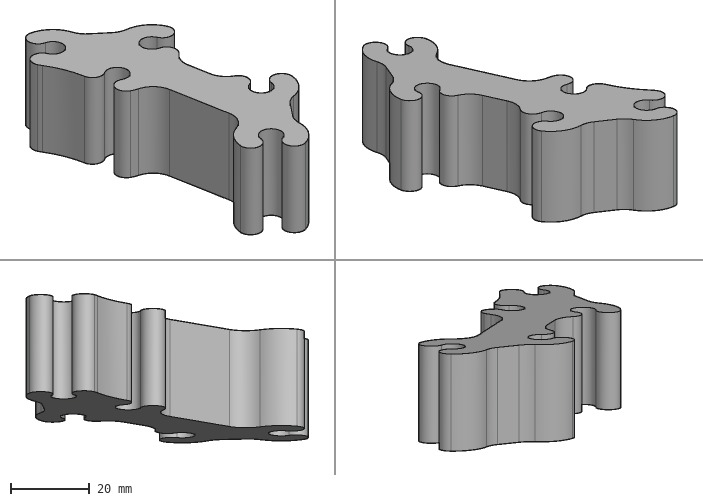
import cadquery as cq
import math

length = 90.5
width = 36.65
height = 25.25

socket_radius = 3.3
lobe_radius = 3.2
lobe_offset = socket_radius + lobe_radius
arm_radius = lobe_offset + lobe_radius
lobe_spread = 60.0

lobe_reach = lobe_offset * math.cos(math.radians(15)) + lobe_radius
outer_x = length / 2 - lobe_reach
outer_y = -width / 2 + lobe_reach
inner_y = width / 2 - lobe_reach
inner_x = outer_x - (inner_y - outer_y)
middle_x = -14.7

waist_top = inner_y - 3.0
waist_bottom = outer_y + 2.0
blend = 6.5


def polar(center, radius, angle):
    """Point at an angle in degrees on a circle."""
    a = math.radians(angle)
    return (center[0] + radius * math.cos(a), center[1] + radius * math.sin(a))


def direction(start, end):
    """Angle in degrees from one point towards another."""
    return math.degrees(math.atan2(end[1] - start[1], end[0] - start[0]))


def leg(hypotenuse, other_leg):
    """Remaining leg of a right triangle."""
    return math.sqrt(hypotenuse**2 - other_leg**2)


def arc(center, radius, start, end, turn):
    """Arc record whose sweep follows turn: 1 anticlockwise, -1 clockwise."""
    sweep = turn * ((turn * (end - start)) % 360)
    return (center, radius, start, start + sweep)


def mirror_back(piece):
    """Arc mirrored in the YZ plane and run the other way."""
    center, radius, start, end = piece
    return ((-center[0], center[1]), radius, 180 - end, 180 - start)


def end_arcs():
    """Clockwise outline of the right end, from the waist top to the lowest lobe."""
    inner = (inner_x, inner_y)
    outer = (outer_x, outer_y)
    inner_mouth = 135
    outer_mouth = 315
    near = inner_mouth + lobe_spread
    top = inner_mouth - lobe_spread
    tip = outer_mouth + lobe_spread
    low = outer_mouth - lobe_spread
    near_lobe = polar(inner, lobe_offset, near)
    top_lobe = polar(inner, lobe_offset, top)
    tip_lobe = polar(outer, lobe_offset, tip)
    low_lobe = polar(outer, lobe_offset, low)

    blend_y = waist_top + blend
    blend_x = near_lobe[0] - leg(lobe_radius + blend, blend_y - near_lobe[1])
    waist = (blend_x, blend_y)
    waist_angle = direction(waist, near_lobe)

    lean = math.degrees(math.acos((lobe_offset + blend) / (arm_radius + blend)))
    inner_angle = 45 - lean
    outer_angle = 45 + lean
    inner_corner = polar(inner, arm_radius + blend, inner_angle)
    outer_corner = polar(outer, arm_radius + blend, outer_angle)

    return [
        arc(waist, blend, 270, waist_angle, 1),
        arc(near_lobe, lobe_radius, waist_angle + 180, near + 180, -1),
        arc(inner, socket_radius, near, top, 1),
        arc(top_lobe, lobe_radius, top + 180, top, -1),
        arc(inner, arm_radius, top, inner_angle, -1),
        arc(inner_corner, blend, inner_angle + 180, 225, 1),
        arc(outer_corner, blend, 225, outer_angle + 180, 1),
        arc(outer, arm_radius, outer_angle, tip, -1),
        arc(tip_lobe, lobe_radius, tip, tip + 180, -1),
        arc(outer, socket_radius, tip, low, 1),
        arc(low_lobe, lobe_radius, low + 180, low, -1),
    ]


def underside_arcs():
    """Clockwise outline between the two lowest lobes, from right to left."""
    right = (outer_x, outer_y)
    left = (-outer_x, outer_y)
    middle = (middle_x, outer_y)
    right_low = 315 - lobe_spread
    left_low = 225 + lobe_spread
    neck = 270 + lobe_spread
    foot = 270 - lobe_spread
    neck_lobe = polar(middle, lobe_offset, neck)
    foot_lobe = polar(middle, lobe_offset, foot)

    blend_y = waist_bottom - blend
    blend_run = leg(arm_radius + blend, blend_y - outer_y)
    arm_blend = (outer_x - blend_run, blend_y)
    arm_angle = direction(right, arm_blend)
    neck_blend = (middle_x + blend_run, blend_y)
    neck_angle = direction(middle, neck_blend)

    run = foot_lobe[0] + outer_x
    drop = outer_y - foot_lobe[1] + lobe_radius
    hollow_radius = (run**2 + drop**2 - arm_radius**2) / (2 * (arm_radius - drop))
    hollow = (foot_lobe[0], outer_y - drop - hollow_radius)
    hollow_angle = direction(hollow, left)

    return [
        arc(right, arm_radius, right_low, arm_angle, -1),
        arc(arm_blend, blend, arm_angle + 180, 90, 1),
        arc(neck_blend, blend, 90, neck_angle + 180, 1),
        arc(middle, arm_radius, neck_angle, neck, -1),
        arc(neck_lobe, lobe_radius, neck, neck + 180, -1),
        arc(middle, socket_radius, neck, foot, 1),
        arc(foot_lobe, lobe_radius, foot + 180, 270, -1),
        arc(hollow, hollow_radius, 90, hollow_angle, 1),
        arc(left, arm_radius, hollow_angle + 180, left_low, -1),
    ]


def outline(arcs):
    """Closed outline through the arcs, with straight flats across any gaps."""
    touching = 9.05e-07
    first_center, first_radius, first_angle, _ = arcs[0]
    last = polar(first_center, first_radius, first_angle)
    path = cq.Workplane("XY").moveTo(*last)
    for center, radius, start, end in arcs:
        begin = polar(center, radius, start)
        if math.dist(last, begin) > touching:
            path = path.lineTo(*begin)
        last = polar(center, radius, end)
        path = path.threePointArc(polar(center, radius, (start + end) / 2), last)
    return path.close()


right_end = end_arcs()
left_end = [mirror_back(piece) for piece in reversed(right_end)]
result = outline(right_end + underside_arcs() + left_end).extrude(height)